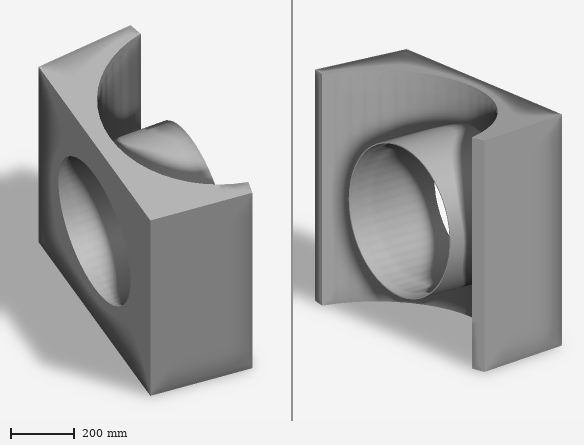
import cadquery as cq
import math

height = 775.0
front_width = height
back_width = 845.0
depth = 354.0
cove_radius = 383.0
cove_floor = 56.0

pipe_diameter = 508.0
pipe_wall = 4.0
pipe_length = 344.0

cove_axis_y = cove_floor + cove_radius
tip_offset = cove_axis_y - depth
tip_x = math.sqrt(cove_radius**2 - tip_offset**2)
outer_x = back_width / 2
outer_y = cove_axis_y - tip_offset * outer_x / tip_x


def y_cylinder(diameter, length):
    """Cylinder on the Y axis running from Y = 0 toward +Y."""
    return cq.Workplane("XZ").circle(diameter / 2).extrude(-length)


def make_saddle():
    """Flared block with a concave back and a through hole that fits the pipe."""
    block = (
        cq.Workplane("XY")
        .moveTo(-front_width / 2, 0)
        .lineTo(front_width / 2, 0)
        .lineTo(outer_x, outer_y)
        .lineTo(tip_x, depth)
        .threePointArc((0, cove_floor), (-tip_x, depth))
        .lineTo(-outer_x, outer_y)
        .close()
        .extrude(height / 2, both=True)
    )
    return block.cut(y_cylinder(pipe_diameter, depth))


def make_pipe():
    """Thin-walled pipe, flush with the front of the saddle and open at both ends."""
    bore_diameter = pipe_diameter - 2 * pipe_wall
    return y_cylinder(pipe_diameter, pipe_length).cut(y_cylinder(bore_diameter, pipe_length))


saddle = make_saddle()
pipe = make_pipe()

result = cq.Compound.makeCompound([saddle.val(), pipe.val()])